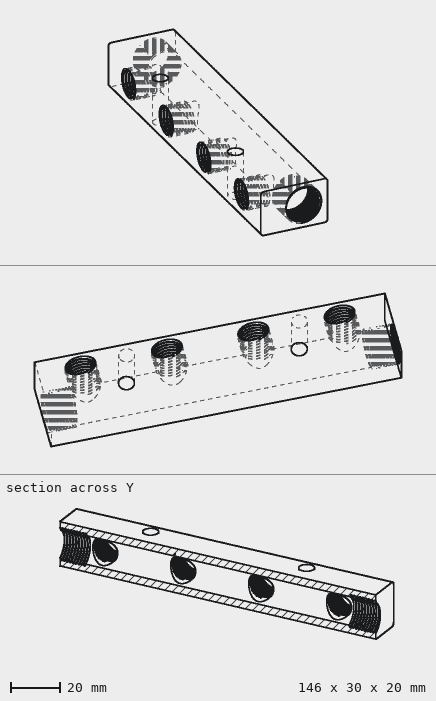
import cadquery as cq
import math

LENGTH = 146.0
WIDTH = 30.0
HEIGHT = 20.0
EDGE_RADIUS = 1.5

PITCH = 1.337
FLANK_ANGLE = 55.0
ROOT_FLAT = PITCH / 8
THREAD_DEPTH = 0.856
GROOVE_OVERLAP = 0.1

BORE_Y = 4.0
BORE_MINOR_DIAMETER = 14.95
BORE_THREAD_LENGTH = 12.0
BORE_THREAD_START_ANGLE = 20.0

PORT_COUNT = 4
PORT_MINOR_DIAMETER = 11.445
PORT_SPACING = 36.0
PORT_THREAD_LENGTH = 10.0
PORT_THREAD_START_ANGLE = 270.0

MOUNT_DIAMETER = 6.5
MOUNT_SPACING = 2 * PORT_SPACING
MOUNT_FROM_FRONT = 6.0

MID_Z = HEIGHT / 2
FRONT_Y = -WIDTH / 2
port_positions = [(i - (PORT_COUNT - 1) / 2) * PORT_SPACING for i in range(PORT_COUNT)]


def make_block():
    block = cq.Workplane("XY").box(LENGTH, WIDTH, HEIGHT, centered=(True, True, False))
    return block.edges("|X").fillet(EDGE_RADIUS)


def make_thread(minor_diameter, length, start_angle):
    """Helical V groove about +Z that starts one pitch before the hole mouth at Z = 0."""
    inner = minor_diameter / 2 - GROOVE_OVERLAP
    outer = minor_diameter / 2 + THREAD_DEPTH
    half_root = ROOT_FLAT / 2
    half_mouth = half_root + (outer - inner) * math.tan(math.radians(FLANK_ANGLE / 2))
    helix = cq.Wire.makeHelix(PITCH, length + PITCH, minor_diameter / 2)
    profile = [(inner, -half_mouth), (outer, -half_root), (outer, half_root), (inner, half_mouth)]
    groove = cq.Workplane("XZ").polyline(profile).close().sweep(cq.Workplane(helix), isFrenet=True)
    return groove.rotate((0, 0, 0), (0, 0, 1), start_angle).translate((0, 0, -PITCH))


def make_threaded_plug(minor_diameter, hole_length, thread_length, start_angle):
    """Solid of a hole along +Z with an internal thread at its Z = 0 mouth."""
    core = cq.Workplane("XY").circle(minor_diameter / 2).extrude(hole_length)
    envelope = cq.Workplane("XY").circle(minor_diameter).extrude(hole_length)
    thread = make_thread(minor_diameter, thread_length, start_angle)
    return core.union(thread.intersect(envelope))


def cut_main_bore(body):
    plug = make_threaded_plug(
        BORE_MINOR_DIAMETER, LENGTH / 2, BORE_THREAD_LENGTH, BORE_THREAD_START_ANGLE
    )
    plug = plug.translate((0, 0, -LENGTH / 2))
    for turn in (90, -90):
        body = body.cut(plug.rotate((0, 0, 0), (0, 1, 0), turn).translate((0, BORE_Y, MID_Z)))
    return body


def cut_ports(body):
    plug = make_threaded_plug(
        PORT_MINOR_DIAMETER, BORE_Y - FRONT_Y, PORT_THREAD_LENGTH, PORT_THREAD_START_ANGLE
    )
    plug = plug.rotate((0, 0, 0), (1, 0, 0), -90)
    for x in port_positions:
        body = body.cut(plug.translate((x, FRONT_Y, MID_Z)))
    return body


def cut_mounting_holes(body):
    y = FRONT_Y + MOUNT_FROM_FRONT
    holes = cq.Workplane("XY").pushPoints([(-MOUNT_SPACING / 2, y), (MOUNT_SPACING / 2, y)])
    return body.cut(holes.circle(MOUNT_DIAMETER / 2).extrude(HEIGHT))


result = cut_mounting_holes(cut_ports(cut_main_bore(make_block())))